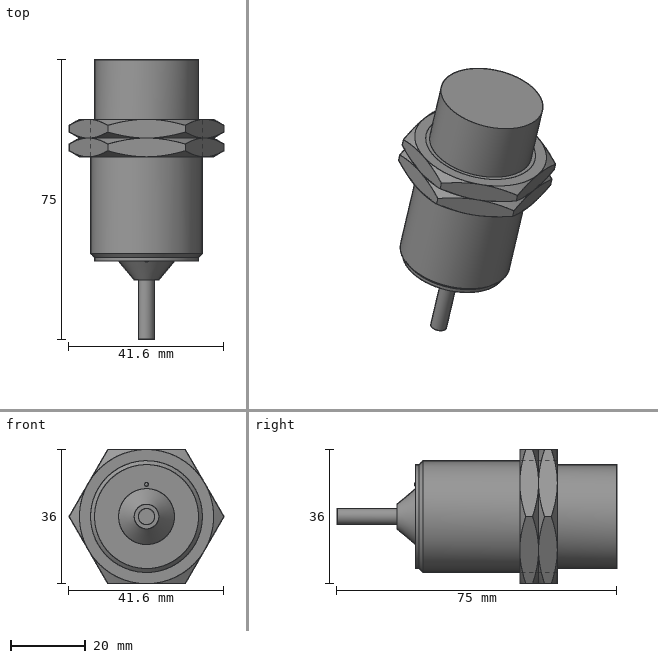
import cadquery as cq
import math

total_length = 75.0

rear_length = 16.0
nut_thickness = 5.0
nut_count = 2
chamfer_start = 52.0
face_position = 54.0
sleeve_end = 59.0

barrel_radius = 13.95
thread_radius = 15.0
sleeve_base_radius = 7.5
sleeve_tip_radius = 3.3
cable_radius = 2.2
chamfer_size = thread_radius - barrel_radius

light_radius = 0.5
light_height = 0.3
light_offset = 8.6

nut_across_flats = 36.0
nut_flat_radius = nut_across_flats / 2
nut_across_corners = nut_across_flats / math.cos(math.radians(30))
nut_corner_radius = nut_across_corners / 2
nut_chamfer_angle = 30.0
nut_corner_drop = (nut_corner_radius - nut_flat_radius) * math.tan(math.radians(nut_chamfer_angle))


def make_indicator_light():
    """Small domed light: a spherical cap rising from the front face."""
    sphere_radius = (light_radius**2 + light_height**2) / (2 * light_height)
    center_depth = sphere_radius - light_height
    return cq.Workplane("XY").sphere(sphere_radius).translate(
        (0, -face_position + center_depth, light_offset)
    )


def make_sensor():
    """Turned housing with its cable sleeve, cable and indicator light."""
    profile = [
        (0, 0),
        (barrel_radius, 0),
        (barrel_radius, -rear_length),
        (thread_radius, -rear_length),
        (thread_radius, -chamfer_start),
        (barrel_radius, -chamfer_start - chamfer_size),
        (barrel_radius, -face_position),
        (sleeve_base_radius, -face_position),
        (sleeve_tip_radius, -sleeve_end),
        (cable_radius, -sleeve_end),
        (cable_radius, -total_length),
        (0, -total_length),
    ]
    housing = cq.Workplane("XY").polyline(profile).close().revolve(360, (0, 0), (0, 1))
    return housing.union(make_indicator_light())


def make_nut(rear_y):
    """Hexagon nut running forward from rear_y, corners chamfered on both faces."""
    front_y = rear_y - nut_thickness
    hexagon = (
        cq.Workplane("XZ", origin=(0, rear_y, 0))
        .polygon(6, nut_across_corners)
        .extrude(nut_thickness)
    )
    envelope_profile = [
        (thread_radius, rear_y),
        (nut_flat_radius, rear_y),
        (nut_corner_radius, rear_y - nut_corner_drop),
        (nut_corner_radius, front_y + nut_corner_drop),
        (nut_flat_radius, front_y),
        (thread_radius, front_y),
    ]
    envelope = cq.Workplane("XY").polyline(envelope_profile).close().revolve(360, (0, 0), (0, 1))
    return hexagon.intersect(envelope)


sensor = make_sensor()
nuts = [make_nut(-rear_length - index * nut_thickness) for index in range(nut_count)]

result = cq.Compound.makeCompound([sensor.val(), *[nut.val() for nut in nuts]])